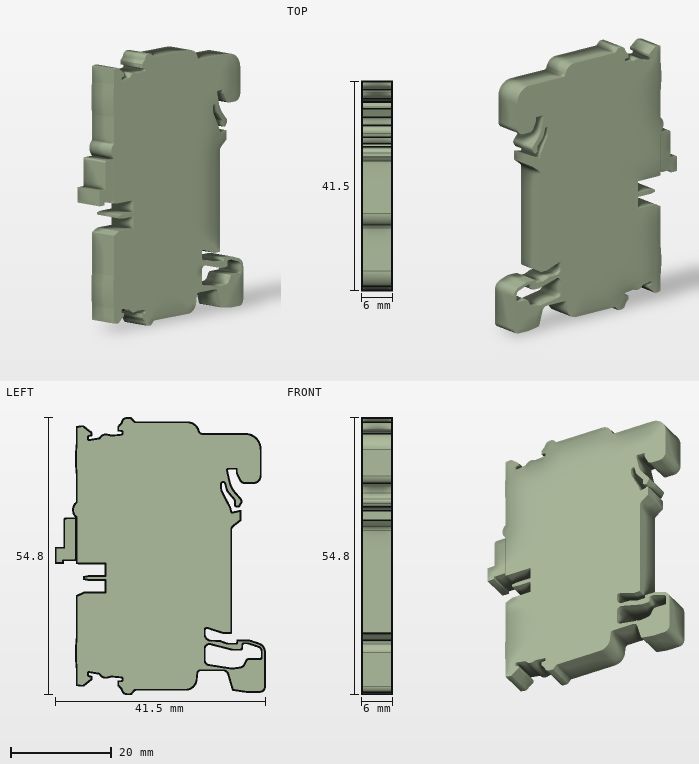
import cadquery as cq
import math


WIDTH = 6.0
DEPTH = 41.5
HEIGHT = 54.8

FOOT_FRONT_Y = -DEPTH / 2
TAB_BACK_Y = DEPTH / 2
PEAK_Z = HEIGHT / 2

BACK_Y = 16.6
FRONT_Y = -14.05
SIDE_Z = 26.55
SHOULDER_Y = -7.0
SHOULDER_R = 2.3
ARM_ROOT_Y = -8.8
CROWN_Z = 19.25
SMALL_R = 0.3


def rounded_outline(corners):
    """Closed Y-Z wire through the corners; a third value rounds that corner with a tangent arc."""
    stretches = []
    for i, corner in enumerate(corners):
        point = cq.Vector(corner[0], corner[1])
        radius = corner[2] if len(corner) > 2 else 0
        if radius == 0:
            stretches.append((point,))
            continue
        before = corners[i - 1]
        after = corners[(i + 1) % len(corners)]
        to_before = (cq.Vector(before[0], before[1]) - point).normalized()
        to_after = (cq.Vector(after[0], after[1]) - point).normalized()
        half_angle = to_before.getAngle(to_after) / 2
        setback = radius / math.tan(half_angle)
        bisector = (to_before + to_after).normalized()
        middle = point + bisector * (radius / math.sin(half_angle) - radius)
        stretches.append((point + to_before * setback, middle, point + to_after * setback))

    wire = cq.Workplane("YZ").moveTo(stretches[0][-1].x, stretches[0][-1].y)
    for stretch in stretches[1:] + stretches[:1]:
        wire = wire.lineTo(stretch[0].x, stretch[0].y)
        if len(stretch) > 1:
            wire = wire.threePointArc((stretch[1].x, stretch[1].y), (stretch[2].x, stretch[2].y))
    return wire.close()


def plate(corners):
    """Full-width prism, centred on X = 0."""
    return rounded_outline(corners).extrude(WIDTH / 2, both=True)


def mirrored(corners):
    """The same corners mirrored in Z, in reverse order so that the outline runs on."""
    return [(corner[0], -corner[1], *corner[2:]) for corner in reversed(corners)]


def marker_groove():
    """Top rear edge, from the rear face forward: rear lip, groove with a low hump, front hook."""
    lip_y = 13.65
    hook_y = 8.4
    lip_top_z = 25.75
    hook_under_z = 24.8
    groove_front_y = 7.5
    floor_z = 23.0
    rear_lip = [
        (BACK_Y, 25.6),
        (15.75, lip_top_z),
        (15.3, lip_top_z),
        (lip_y, 24.45, SMALL_R),
        (lip_y, 23.9, 0.1),
        (14.4, 23.75, 0.25),
        (14.3, floor_z, 0.1),
    ]
    hump = [
        (12.1, 23.35),
        (11.3, 24.3, 1.3),
        (9.7, 23.9),
    ]
    front_hook = [
        (groove_front_y, 24.1, SMALL_R),
        (groove_front_y, hook_under_z, SMALL_R),
        (hook_y, hook_under_z),
        (hook_y, 25.6),
        (7.75, 26.3),
        (7.3, PEAK_Z, 1.0),
        (5.85, PEAK_Z, 0.2),
        (5.05, SIDE_Z, 0.2),
    ]
    return rear_lip + hump + front_hook


def rail_head():
    """Upper front jaw with its lip, the spring finger behind it and the catch below."""
    head_top_z = 24.25
    head_front_y = -19.9
    lip_bottom_z = 14.45
    mouth_top_z = 17.3
    mouth_front_y = -15.1
    slot_top_z = 14.65
    slot_back_y = -12.05
    tip_back_y = -14.75
    catch_front_y = -15.9
    jaw = [
        (SHOULDER_Y, SIDE_Z, SHOULDER_R),
        (-7.8, head_top_z, 0.7),
        (head_front_y, head_top_z, 3.1),
        (head_front_y, lip_bottom_z, 1.5),
        (-16.1, lip_bottom_z, 1.1),
        (mouth_front_y, 16.5, 0.5),
        (mouth_front_y, mouth_top_z),
    ]
    finger = [
        (-13.15, mouth_top_z, 0.25),
        (-14.0, 13.5, 5.0),
        (-16.27, 10.93, 0.7),
        (-15.5, 9.7, 0.4),
        (tip_back_y, 9.9, 0.4),
        (tip_back_y, 11.1, SMALL_R),
        (-13.2, 12.95, 1.5),
        (-12.75, slot_top_z, SMALL_R),
    ]
    catch = [
        (slot_back_y, slot_top_z, SMALL_R),
        (slot_back_y, 13.1, 2.0),
        (-13.85, 9.6, 0.5),
        (-14.1, 8.6, 0.1),
        (catch_front_y, 9.0),
        (catch_front_y, 7.1),
        (FRONT_Y, 5.65, 1.0),
    ]
    return jaw + finger + catch


def rail_foot():
    """Lower front: slot under the front face, the springy arm and the solid foot."""
    slot_lip_z = -15.3
    arm_step_z = -17.35
    arm_top_z = -16.7
    foot_bottom_z = -26.95
    arch_z = -22.65
    slot = [
        (FRONT_Y, slot_lip_z, 0.2),
        (-12.5, slot_lip_z),
        (ARM_ROOT_Y, -14.1, 0.4),
        (ARM_ROOT_Y, -16.75, 1.3),
    ]
    arm = [
        (-11.75, -16.8, 0.5),
        (-13.3, arm_step_z, 0.5),
        (-15.15, arm_step_z),
        (-15.25, arm_top_z),
        (-17.6, arm_top_z, 2.0),
        (FOOT_FRONT_Y, -17.75, 1.8),
    ]
    foot = [
        (FOOT_FRONT_Y, foot_bottom_z, 1.1),
        (-17.0, foot_bottom_z, 2.0),
        (-14.35, -26.55, SMALL_R),
        (-13.2, arch_z, 1.0),
        (-7.4, arch_z, 0.6),
        (SHOULDER_Y, -SIDE_Z, SHOULDER_R),
    ]
    return slot + arm + foot


def rear_notch():
    """Slot in the rear face with a thin pointed tongue in it."""
    notch_top_z = -1.5
    notch_bottom_z = -7.2
    notch_floor_y = 10.9
    tongue_z = (notch_top_z + notch_bottom_z) / 2
    tongue_half = 0.43
    tongue_tip_half = 0.22
    tongue_tip_y = 15.2
    taper_y = 14.1
    return [
        (BACK_Y, -7.9),
        (15.1, notch_bottom_z),
        (notch_floor_y, notch_bottom_z),
        (notch_floor_y, tongue_z - tongue_half),
        (taper_y, tongue_z - tongue_half),
        (tongue_tip_y, tongue_z - tongue_tip_half),
        (tongue_tip_y, tongue_z + tongue_tip_half),
        (taper_y, tongue_z + tongue_half),
        (notch_floor_y, tongue_z + tongue_half),
        (notch_floor_y, notch_top_z),
        (16.1, notch_top_z),
        (BACK_Y, -1.4),
    ]


def foot_window():
    """Opening that frees the springy arm from the foot."""
    arm_wall = 0.7
    front_y = FOOT_FRONT_Y + arm_wall
    ledge_z = -20.4
    pocket_y = -16.25
    pocket_top_z = -17.3
    roof_z = -18.6
    return [
        (ARM_ROOT_Y, -17.2, 0.9),
        (-14.3, roof_z, 0.5),
        (pocket_y, roof_z, 0.5),
        (pocket_y, pocket_top_z, SMALL_R),
        (-17.3, pocket_top_z, 1.0),
        (front_y, -18.2, 0.9),
        (front_y, ledge_z, SMALL_R),
        (-17.15, ledge_z, 0.5),
        (-16.4, -22.0, 1.2),
        (-14.2, -22.3, 2.0),
        (ARM_ROOT_Y, -21.45, 0.9),
    ]


def rear_tab():
    """Stepped tab behind the rear face, joined at its top and otherwise parted by a narrow slit."""
    slit = 0.18
    joint_height = 0.2
    slit_y = BACK_Y + slit
    tab_y = 19.1
    tab_top_z = 7.5
    slit_top_z = tab_top_z - joint_height
    tab_bottom_z = -0.85
    heel_top_z = 1.7
    heel_bottom_z = -1.4
    heel_inner_y = 19.3
    return plate([
        (BACK_Y, tab_top_z),
        (tab_y, tab_top_z, 0.4),
        (tab_y, heel_top_z),
        (TAB_BACK_Y, heel_top_z),
        (TAB_BACK_Y, heel_bottom_z),
        (heel_inner_y, heel_bottom_z),
        (heel_inner_y, tab_bottom_z),
        (slit_y, tab_bottom_z, 0.2),
        (slit_y, slit_top_z),
        (BACK_Y, slit_top_z),
    ])


def rear_bead():
    """Round bead across the rear face, above the tab."""
    bead_r = 1.9
    bead_height = 0.75
    bead_z = 9.15
    bead = cq.Workplane("YZ").center(BACK_Y + bead_height - bead_r, bead_z).circle(bead_r)
    return bead.extrude(WIDTH / 2, both=True)


def rear_crown(middle_z):
    """Very shallow crowned strip on the rear face."""
    half_length = 3.25
    crown = 0.2
    strip = (
        cq.Workplane("YZ")
        .moveTo(BACK_Y, middle_z - half_length)
        .threePointArc((BACK_Y + crown, middle_z), (BACK_Y, middle_z + half_length))
        .close()
    )
    return strip.extrude(WIDTH / 2, both=True)


housing = marker_groove() + rail_head() + rail_foot() + mirrored(marker_groove()) + rear_notch()
result = plate(housing).cut(plate(foot_window()))
result = result.union(rear_tab()).union(rear_bead())
for strip_z in (CROWN_Z, -CROWN_Z):
    result = result.union(rear_crown(strip_z))